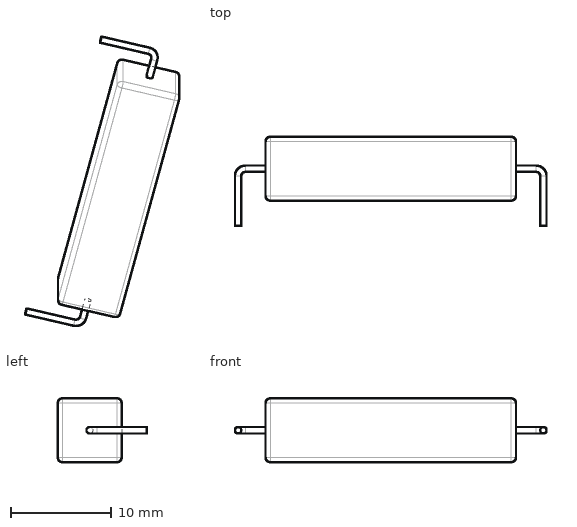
import cadquery as cq

body_length = 25.0
body_side = 6.4
edge_radius = 0.5

wire_diameter = 0.65
lead_pitch = 30.48
lead_drop = 5.7
bend_radius = 0.75
lead_embed = 1.0


def make_body():
    body = cq.Workplane("XY").box(body_length, body_side, body_side)
    return body.edges().fillet(edge_radius)


def make_right_lead():
    """Wire swept out of the +X end face and round the bend to its tip."""
    start_x = body_length / 2 - lead_embed
    lead_x = lead_pitch / 2
    path = (
        cq.Workplane("XY")
        .moveTo(start_x, 0)
        .lineTo(lead_x - bend_radius, 0)
        .tangentArcPoint((lead_x, -bend_radius), relative=False)
        .lineTo(lead_x, -lead_drop)
    )
    wire_section = cq.Workplane("YZ", origin=(start_x, 0, 0)).circle(wire_diameter / 2)
    return wire_section.sweep(path)


right_lead = make_right_lead()
left_lead = right_lead.mirror("YZ")

result = make_body().union(right_lead).union(left_lead)